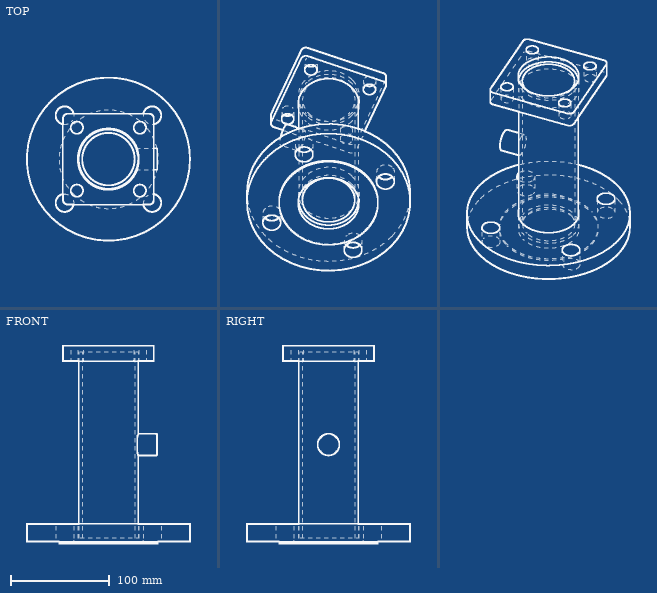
import cadquery as cq
import math

total_height = 200.0

flange_diameter = 165.0
flange_thickness = 18.0
flange_hole_diameter = 18.0
flange_hole_circle = 125.0
raised_face_diameter = 100.0
raised_face_height = 2.0

pipe_diameter = 60.5
pipe_bore = 52.8
pipe_setback = 6.0

clearance_bore = 61.5

plate_width = 92.0
plate_thickness = 15.5
plate_corner_radius = 5.0
plate_hole_diameter = 12.5
plate_hole_circle = 90.0

boss_diameter = 22.0
boss_length = 20.0
boss_seat_depth = 1.0
boss_height = total_height / 2
boss_edge_fillet = 1.0


def diagonal_holes(diameter, hole_circle, z_bottom, depth):
    """Four vertical hole cutters on the diagonals of a hole circle."""
    spacing = hole_circle / math.sqrt(2)
    return (
        cq.Workplane("XY", origin=(0, 0, z_bottom))
        .rect(spacing, spacing, forConstruction=True)
        .vertices()
        .circle(diameter / 2)
        .extrude(depth)
    )


def pipe_clearance():
    """Full-height cutter for the bore that takes the pipe."""
    return cq.Workplane("XY").circle(clearance_bore / 2).extrude(total_height)


def make_base_flange():
    """Round flange with a raised sealing face underneath."""
    raised_face = cq.Workplane("XY").circle(raised_face_diameter / 2).extrude(raised_face_height)
    disc = (
        cq.Workplane("XY", origin=(0, 0, raised_face_height))
        .circle(flange_diameter / 2)
        .extrude(flange_thickness)
    )
    holes = diagonal_holes(flange_hole_diameter, flange_hole_circle, 0, raised_face_height + flange_thickness)
    return disc.union(raised_face).cut(holes).cut(pipe_clearance())


def make_top_plate():
    """Square plate with rounded corners and four bolt holes."""
    plate_bottom = total_height - plate_thickness
    plate = (
        cq.Workplane("XY", origin=(0, 0, plate_bottom))
        .rect(plate_width, plate_width)
        .extrude(plate_thickness)
        .edges("|Z")
        .fillet(plate_corner_radius)
    )
    holes = diagonal_holes(plate_hole_diameter, plate_hole_circle, plate_bottom, plate_thickness)
    return plate.cut(holes).cut(pipe_clearance())


def make_boss():
    """Solid round boss with both end edges rounded."""
    inner_end = pipe_diameter / 2 - boss_seat_depth
    return (
        cq.Workplane("YZ", origin=(inner_end, 0, boss_height))
        .circle(boss_diameter / 2)
        .extrude(boss_length)
        .faces("<X or >X")
        .edges()
        .fillet(boss_edge_fillet)
    )


def make_pipe(seated_boss):
    """Pipe whose ends lie inside the two flanges, with a seat matching the boss."""
    tube = (
        cq.Workplane("XY", origin=(0, 0, pipe_setback))
        .circle(pipe_diameter / 2)
        .circle(pipe_bore / 2)
        .extrude(total_height - 2 * pipe_setback)
    )
    return tube.cut(seated_boss)


base_flange = make_base_flange()
top_plate = make_top_plate()
boss = make_boss()
pipe = make_pipe(boss)

result = cq.Compound.makeCompound([base_flange.val(), top_plate.val(), pipe.val(), boss.val()])